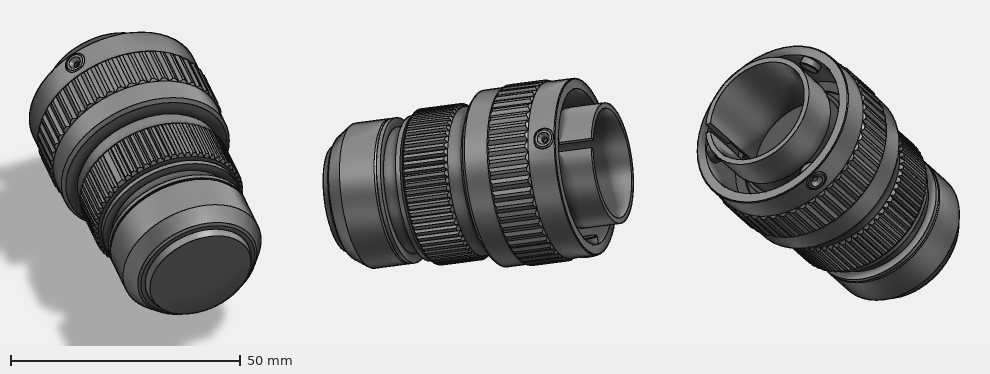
import cadquery as cq
import math

LENGTH = 62.95

SLEEVE_RADIUS = 13.3
SLEEVE_BORE_RADIUS = 12.1
RELIEF_START_X = 8.8
RELIEF_END_X = 15.1
RELIEF_RADIUS = 12.45
SOCKET_DEPTH = 18.5
KEYWAY_WIDTH = 2.15
KEYWAY_LENGTH = 17.0

SHELL_START_X = 6.2
SHELL_END_X = 27.95
SHELL_RADIUS = 19.45
SHELL_BORE_RADIUS = 17.2
SHELL_FRONT_CHAMFER = 0.2
SHELL_REAR_CHAMFER = 0.75
FLOOR_GROOVE_RADIUS = 14.9
FLOOR_GROOVE_DEPTH = 0.6

GRIP_BEVEL = 0.55

SHELL_GRIP_START_X = 12.4
SHELL_GRIP_END_X = 21.9
SHELL_GRIP_RADIUS = 19.9
SHELL_GRIP_GROOVES = 48
SHELL_GRIP_PITCH = 360 / SHELL_GRIP_GROOVES
SHELL_GRIP_FIRST_GROOVE = 0.0
SHELL_GRIP_CREST_WIDTH = 0.7

PIN_X = 8.8
PIN_RADIUS = 2.25
PIN_TIP_DISTANCE = 15.4
PIN_HEAD_DISTANCE = 19.6
PIN_TIP_CHAMFER = 0.2
PIN_HEAD_RADIUS = 2.4
PIN_HEAD_FLAT_RADIUS = 1.95
PIN_HEAD_BEVEL_HEIGHT = 0.2
PIN_ANGLES = (0, 120, 240)
DIMPLE_TOP_RADIUS = 1.4
DIMPLE_BOTTOM_RADIUS = 0.6
DIMPLE_DEPTH = 0.95
PILOT_DEPTH = 1.9

NECK_COLLAR_RADIUS = 14.2
NECK_RADIUS = 13.8
NECK_TAPER_LENGTH = 0.45

BODY_START_X = 28.65
BODY_RADIUS = 16.4
BODY_CHAMFER = 0.45
BODY_GRIP_START_X = 32.2
BODY_GRIP_END_X = 42.75
BODY_GRIP_RADIUS = 17.2
BODY_GRIP_VALLEY_RADIUS = 16.55
BODY_GRIP_GROOVES = 65
BODY_GRIP_PITCH = 5.5
BODY_GRIP_CREST_WIDTH = 0.75
BODY_GRIP_WIDE_TOOTH_ANGLE = 131.0
BODY_GRIP_WIDE_TOOTH_PITCH = 360 - (BODY_GRIP_GROOVES - 1) * BODY_GRIP_PITCH
BODY_GRIP_FIRST_GROOVE = BODY_GRIP_WIDE_TOOTH_ANGLE + BODY_GRIP_WIDE_TOOTH_PITCH / 2

REAR_RADIUS = 16.0
REAR_NECK_RADIUS = 14.55
FRONT_FLANGE_START_X = 43.45
FRONT_FLANGE_END_X = 44.5
WAIST_RADIUS = 14.0
REAR_FLANGE_START_X = 48.0
REAR_FLANGE_END_X = 49.0

NUT_CHAMFER_WIDTH = 0.5
NUT_CHAMFER_DEPTH = 0.4
NUT_CONE_START_X = 57.55
NUT_CONE_END_X = 60.9
NUT_CONE_END_RADIUS = 13.8
NUT_END_X = 61.3
NUT_END_RADIUS = 13.2
TAIL_START_RADIUS = 12.2
TAIL_END_RADIUS = 11.7


def revolve_about_x(outline):
    """Turn a closed (x, radius) outline about the X axis."""
    return cq.Workplane("XY").polyline(outline).close().revolve(360, (0, 0, 0), (1, 0, 0))


def turned_body():
    """All the plain turned surfaces, from the mating end to the cable end and back."""
    nut_start_x = REAR_FLANGE_END_X + NUT_CHAMFER_WIDTH
    groove_floor_x = SOCKET_DEPTH + FLOOR_GROOVE_DEPTH
    return revolve_about_x([
        (SOCKET_DEPTH, 0),
        (SOCKET_DEPTH, SLEEVE_BORE_RADIUS),
        (0, SLEEVE_BORE_RADIUS),
        (0, SLEEVE_RADIUS),
        (RELIEF_START_X, SLEEVE_RADIUS),
        (RELIEF_START_X, RELIEF_RADIUS),
        (RELIEF_END_X, RELIEF_RADIUS),
        (RELIEF_END_X, SLEEVE_RADIUS),
        (groove_floor_x, SLEEVE_RADIUS),
        (groove_floor_x, FLOOR_GROOVE_RADIUS),
        (SOCKET_DEPTH, FLOOR_GROOVE_RADIUS),
        (SOCKET_DEPTH, SHELL_BORE_RADIUS),
        (SHELL_START_X, SHELL_BORE_RADIUS),
        (SHELL_START_X, SHELL_RADIUS - SHELL_FRONT_CHAMFER),
        (SHELL_START_X + SHELL_FRONT_CHAMFER, SHELL_RADIUS),
        (SHELL_END_X - SHELL_REAR_CHAMFER, SHELL_RADIUS),
        (SHELL_END_X, SHELL_RADIUS - SHELL_REAR_CHAMFER),
        (SHELL_END_X, NECK_COLLAR_RADIUS),
        (SHELL_END_X + NECK_TAPER_LENGTH, NECK_RADIUS),
        (BODY_START_X, NECK_RADIUS),
        (BODY_START_X, BODY_RADIUS - BODY_CHAMFER),
        (BODY_START_X + BODY_CHAMFER, BODY_RADIUS),
        (BODY_GRIP_END_X, BODY_RADIUS),
        (BODY_GRIP_END_X, REAR_NECK_RADIUS),
        (FRONT_FLANGE_START_X, REAR_NECK_RADIUS),
        (FRONT_FLANGE_START_X, REAR_RADIUS),
        (FRONT_FLANGE_END_X, REAR_RADIUS),
        (FRONT_FLANGE_END_X, WAIST_RADIUS),
        (REAR_FLANGE_START_X, WAIST_RADIUS),
        (REAR_FLANGE_START_X, REAR_RADIUS),
        (REAR_FLANGE_END_X, REAR_RADIUS),
        (REAR_FLANGE_END_X, REAR_RADIUS - NUT_CHAMFER_DEPTH),
        (nut_start_x, REAR_RADIUS),
        (NUT_CONE_START_X, REAR_RADIUS),
        (NUT_CONE_END_X, NUT_CONE_END_RADIUS),
        (NUT_END_X, NUT_END_RADIUS),
        (NUT_END_X, TAIL_START_RADIUS),
        (LENGTH, TAIL_END_RADIUS),
        (LENGTH, 0),
    ])


def knurl(
    start_x, end_x, root_radius, crest_radius, valley_radius, end_radius,
    grooves, pitch, first_groove, crest_width,
):
    """Toothed ring with V grooves, flat crests and bevelled ends.

    `end_radius` is the radius at which the end bevels start. `pitch` and `first_groove` are
    angles in degrees, measured from +Y towards +Z.
    """
    half_groove = math.radians(pitch) / 2 - math.asin(crest_width / 2 / crest_radius)
    outline = []
    for groove in range(grooves):
        groove_angle = math.radians(first_groove + groove * pitch)
        for radius, angle in (
            (crest_radius, groove_angle - half_groove),
            (valley_radius, groove_angle),
            (crest_radius, groove_angle + half_groove),
        ):
            outline.append((radius * math.cos(angle), radius * math.sin(angle)))
    toothed = cq.Workplane("YZ", origin=(start_x, 0, 0)).polyline(outline).close().extrude(end_x - start_x)

    envelope = revolve_about_x([
        (start_x, root_radius),
        (start_x, end_radius),
        (start_x + GRIP_BEVEL, crest_radius),
        (end_x - GRIP_BEVEL, crest_radius),
        (end_x, end_radius),
        (end_x, root_radius),
    ])
    return toothed.intersect(envelope)


def pin(angle):
    """Radial bayonet pin with a bevelled head set in the shell wall, turned about X from +Y."""
    head_edge = PIN_HEAD_DISTANCE - PIN_HEAD_BEVEL_HEIGHT
    head_seat = head_edge - (PIN_HEAD_RADIUS - PIN_RADIUS)
    half_outline = [
        (0, PIN_TIP_DISTANCE),
        (PIN_RADIUS - PIN_TIP_CHAMFER, PIN_TIP_DISTANCE),
        (PIN_RADIUS, PIN_TIP_DISTANCE + PIN_TIP_CHAMFER),
        (PIN_RADIUS, head_seat),
        (PIN_HEAD_RADIUS, head_edge),
        (PIN_HEAD_FLAT_RADIUS, PIN_HEAD_DISTANCE),
        (0, PIN_HEAD_DISTANCE),
    ]
    body = (
        cq.Workplane("XY", origin=(PIN_X, 0, 0))
        .polyline(half_outline)
        .close()
        .revolve(360, (0, 0, 0), (0, 1, 0))
    )
    return body.rotate((0, 0, 0), (1, 0, 0), angle)


def dimple(angle):
    """Conical recess with a small pilot hole at its bottom, in the outer end of a pin."""
    top = cq.Vector(PIN_X, PIN_HEAD_DISTANCE, 0)
    inward = cq.Vector(0, -1, 0)
    cone = cq.Solid.makeCone(DIMPLE_TOP_RADIUS, DIMPLE_BOTTOM_RADIUS, DIMPLE_DEPTH, top, inward)
    pilot = cq.Solid.makeCylinder(DIMPLE_BOTTOM_RADIUS, PILOT_DEPTH, top, inward)
    return cq.Workplane(cone).union(cq.Workplane(pilot)).rotate((0, 0, 0), (1, 0, 0), angle)


def keyway():
    """Round-ended slot through the sleeve wall on the +Y side, open at the mating face."""
    half_width = KEYWAY_WIDTH / 2
    inner_y = SLEEVE_BORE_RADIUS - 0.6
    plane = cq.Plane(origin=(0, inner_y, 0), xDir=(1, 0, 0), normal=(0, 1, 0))
    return (
        cq.Workplane(plane)
        .moveTo(0, -half_width)
        .lineTo(KEYWAY_LENGTH - half_width, -half_width)
        .threePointArc((KEYWAY_LENGTH, 0), (KEYWAY_LENGTH - half_width, half_width))
        .lineTo(0, half_width)
        .close()
        .extrude(SLEEVE_RADIUS + 0.6 - inner_y)
    )


result = turned_body()
result = result.union(knurl(
    SHELL_GRIP_START_X, SHELL_GRIP_END_X, SHELL_BORE_RADIUS + 0.6, SHELL_GRIP_RADIUS, SHELL_RADIUS, SHELL_RADIUS,
    SHELL_GRIP_GROOVES, SHELL_GRIP_PITCH, SHELL_GRIP_FIRST_GROOVE, SHELL_GRIP_CREST_WIDTH,
))
result = result.union(knurl(
    BODY_GRIP_START_X, BODY_GRIP_END_X, REAR_NECK_RADIUS, BODY_GRIP_RADIUS, BODY_GRIP_VALLEY_RADIUS, BODY_RADIUS,
    BODY_GRIP_GROOVES, BODY_GRIP_PITCH, BODY_GRIP_FIRST_GROOVE, BODY_GRIP_CREST_WIDTH,
))
result = result.cut(keyway())
for pin_angle in PIN_ANGLES:
    result = result.union(pin(pin_angle)).cut(dimple(pin_angle))